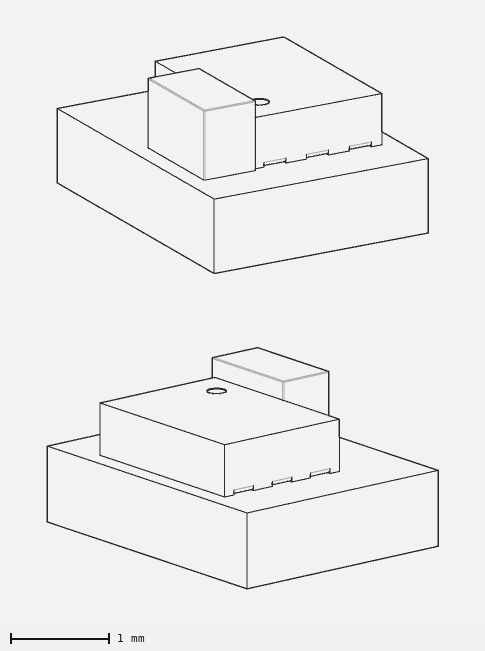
import cadquery as cq
import math

BOARD_LENGTH = 3.2
BOARD_WIDTH = 2.5
BOARD_HEIGHT = 0.8

EDGE_MARGIN = 0.2

CHIP_LEFT = 0.6
CHIP_LENGTH = 2.0
CHIP_WIDTH = 1.5
CHIP_HEIGHT = 0.55

BLOCK_LEFT = 1.5
BLOCK_LENGTH = 1.15
BLOCK_HEIGHT = 0.75
BLOCK_EDGE_RADIUS = 0.01

MARK_DIAMETER = 0.2
MARK_INSET_X = 0.4
MARK_INSET_Y = 0.3
MARK_DEPTH = 0.01

NOTCH_COUNT = 3
NOTCH_PITCH = 0.5
NOTCH_WIDTH = 0.255
NOTCH_RADIUS = 0.05

chip_back = BOARD_WIDTH - EDGE_MARGIN
chip_front = chip_back - CHIP_WIDTH
chip_right = CHIP_LEFT + CHIP_LENGTH
chip_top = BOARD_HEIGHT + CHIP_HEIGHT
chip_middle_y = (chip_front + chip_back) / 2
block_width = chip_front - EDGE_MARGIN


def corner_box(length, width, height, corner):
    """Box with its lower left front corner at the given point."""
    return cq.Workplane("XY").box(length, width, height, centered=False).translate(corner)


def make_notch(end_x, inward, back_y):
    """Corner cut at one chip end that leaves a convex quarter round behind it."""
    arc_offset = NOTCH_RADIUS * (1 - math.sqrt(0.5))
    return (
        cq.Workplane("XZ", origin=(end_x, back_y, BOARD_HEIGHT))
        .lineTo(0, NOTCH_RADIUS)
        .threePointArc((inward * arc_offset, arc_offset), (inward * NOTCH_RADIUS, 0))
        .close()
        .extrude(NOTCH_WIDTH)
    )


def make_chip():
    """Chip package with its pin-one mark and lead notches."""
    chip = corner_box(CHIP_LENGTH, CHIP_WIDTH, CHIP_HEIGHT, (CHIP_LEFT, chip_front, BOARD_HEIGHT))

    mark_center = (chip_right - MARK_INSET_X, chip_front + MARK_INSET_Y, chip_top)
    mark = cq.Workplane("XY", origin=mark_center).circle(MARK_DIAMETER / 2).extrude(-MARK_DEPTH)
    chip = chip.cut(mark)

    first_notch_y = chip_middle_y - NOTCH_PITCH * (NOTCH_COUNT - 1) / 2
    for end_x, inward in ((CHIP_LEFT, 1), (chip_right, -1)):
        for index in range(NOTCH_COUNT):
            back_y = first_notch_y + index * NOTCH_PITCH + NOTCH_WIDTH / 2
            chip = chip.cut(make_notch(end_x, inward, back_y))
    return chip


def make_block():
    """Small block, rounded on its upright and top edges."""
    block = corner_box(BLOCK_LENGTH, block_width, BLOCK_HEIGHT, (BLOCK_LEFT, EDGE_MARGIN, BOARD_HEIGHT))
    return block.edges("|Z or >Z").fillet(BLOCK_EDGE_RADIUS)


board = corner_box(BOARD_LENGTH, BOARD_WIDTH, BOARD_HEIGHT, (0, 0, 0))

result = board.union(make_chip()).union(make_block())